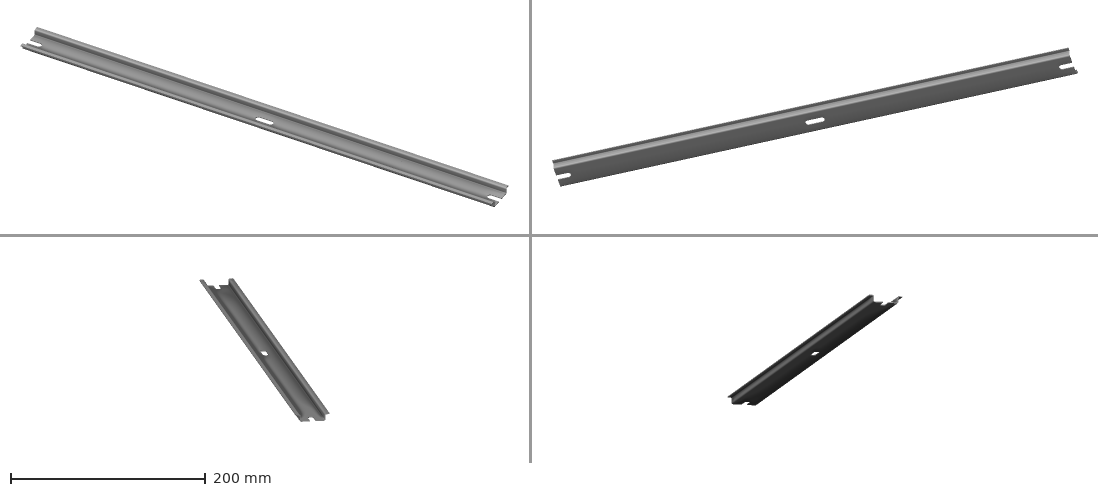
import cadquery as cq

length = 551
width = 35.0
height = 7.5
thickness = 1.0
channel_width = 27.0
inner_bend = 0.8
outer_bend = inner_bend + thickness

slot_length = 20.5
slot_width = 6.0
end_slot_depth = 15.0

lip_y = width / 2
wall_y = channel_width / 2
inner_wall_y = wall_y - thickness
lip_bottom = height - thickness


def rail():
    """Extrude the hat-shaped section along X, with rounded bends."""
    right_half = [
        (inner_wall_y, thickness),
        (inner_wall_y, height),
        (lip_y, height),
        (lip_y, lip_bottom),
        (wall_y, lip_bottom),
        (wall_y, 0),
    ]
    left_half = [(-y, z) for y, z in reversed(right_half)]
    body = (
        cq.Workplane("YZ")
        .polyline(right_half + left_half)
        .close()
        .extrude(length / 2, both=True)
    )
    for side in (1, -1):
        for y, z, radius in (
            (inner_wall_y, thickness, inner_bend),
            (wall_y, 0, outer_bend),
            (wall_y, lip_bottom, inner_bend),
            (inner_wall_y, height, outer_bend),
        ):
            corner = cq.selectors.NearestToPointSelector((0, side * y, z))
            body = body.edges("|X").edges(corner).fillet(radius)
    return body


def slot(center_x, overall_length):
    """Round-ended cutter along X, through the floor."""
    return (
        cq.Workplane("XY")
        .center(center_x, 0)
        .slot2D(overall_length, slot_width)
        .extrude(thickness)
    )


result = rail().cut(slot(0, slot_length))
for end in (1, -1):
    result = result.cut(slot(end * length / 2, 2 * end_slot_depth))